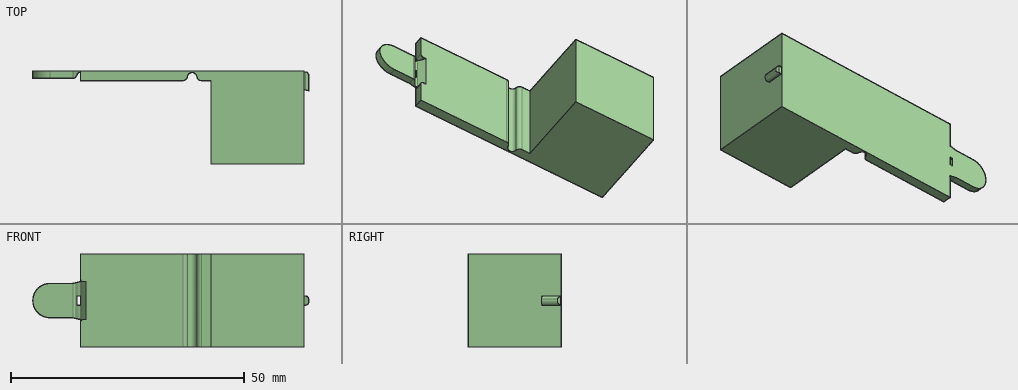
import cadquery as cq
import math

cube_size = 20.0
strap_length = 28.0
strap_thickness = 2.1
cube_end = strap_length + cube_size

web_thickness = 0.35
strap_hinge_x = 24.0
strap_hinge_half_span = 2.0
strap_hinge_lip_radius = 1.0
strap_hinge_root_radius = 1.0
tab_hinge_x = -0.165
tab_hinge_half_span = 1.445
tab_hinge_tab_lip_radius = 0.85
tab_hinge_strap_lip_radius = 0.0
tab_hinge_root_radius = 0.4

tab_reach = 10.2
tab_width = 7.4
tab_thickness = 1.6
tab_flare_start = tab_hinge_x - tab_hinge_half_span

notch_width = 8.1
notch_corner_radius = 0.7

window_start = -0.65
window_end = 0.0
window_height = 1.95

nub_height = 2.0
nub_corner_radius = 0.7
nub_end = cube_end + 1.02
nub_back = -0.2
nub_shoulder = -0.8
nub_shoulder_length = 0.65
nub_front_at_cube = -4.05
nub_front_at_tip = -4.25


def block(x_start, x_end, y_start, y_end, height):
    """Box spanning the given X and Y ranges, centred on Z = 0."""
    blank = cq.Workplane("XY").box(x_end - x_start, y_end - y_start, height, centered=(False, False, True))
    return blank.translate((x_start, y_start, 0))


def flank(groove_x, side, half_span, thickness, lip_radius, root_radius):
    """Points down one groove flank: lip, lip middle, lip end, root start, root middle, root."""
    lip_y = lip_radius - thickness
    root_y = -web_thickness - root_radius
    rise = root_y - lip_y
    distance = math.hypot(half_span, rise)
    angle = math.atan2(rise, half_span) - math.acos((lip_radius + root_radius) / distance)
    lip_middle = (angle - math.pi / 2) / 2
    root_middle = (angle + math.pi + math.pi / 2) / 2

    def lip_point(a):
        return (groove_x + side * (half_span - lip_radius * math.cos(a)), lip_y + lip_radius * math.sin(a))

    def root_point(a):
        return (groove_x - side * root_radius * math.cos(a), root_y + root_radius * math.sin(a))

    return [
        lip_point(-math.pi / 2),
        lip_point(lip_middle),
        lip_point(angle),
        root_point(angle + math.pi),
        root_point(root_middle),
        root_point(math.pi / 2),
    ]


def hinge_groove(left, right, height):
    """Groove cutter between two flanks; a flank with no lip radius meets its face at a sharp edge."""
    left_lip, left_lip_middle, left_lip_end, left_root, left_root_middle, root = left
    right_lip, right_lip_middle, right_lip_end, right_root, right_root_middle, _ = right
    mouth_y = -2 * strap_thickness
    profile = (
        cq.Workplane("XY", origin=(0, 0, -height / 2))
        .moveTo(left_lip[0], mouth_y)
        .lineTo(*left_lip)
        .threePointArc(left_lip_middle, left_lip_end)
        .lineTo(*left_root)
        .threePointArc(left_root_middle, root)
        .threePointArc(right_root_middle, right_root)
        .lineTo(*right_lip_end)
    )
    if right_lip != right_lip_end:
        profile = profile.threePointArc(right_lip_middle, right_lip)
    return profile.lineTo(right_lip[0], mouth_y).close().extrude(height)


def make_strap_and_cube():
    strap = block(0, cube_end, -strap_thickness, 0, cube_size)
    cube = block(strap_length, cube_end, -cube_size, 0, cube_size)
    left, right = [
        flank(strap_hinge_x, side, strap_hinge_half_span, strap_thickness,
              strap_hinge_lip_radius, strap_hinge_root_radius)
        for side in (-1, 1)
    ]
    groove = hinge_groove(left, right, cube_size)
    return strap.union(cube).cut(groove)


def make_tab():
    """Round-ended tab that widens across its hinge to the notch width."""
    half_tab = tab_width / 2
    half_notch = notch_width / 2
    arc_x = half_tab - tab_reach
    return (
        cq.Workplane("XZ")
        .moveTo(arc_x, half_tab)
        .threePointArc((-tab_reach, 0), (arc_x, -half_tab))
        .lineTo(tab_flare_start, -half_tab)
        .lineTo(tab_hinge_x, -half_notch)
        .lineTo(0, -half_notch)
        .lineTo(0, half_notch)
        .lineTo(tab_hinge_x, half_notch)
        .lineTo(tab_flare_start, half_tab)
        .close()
        .extrude(tab_thickness)
    )


def make_notch_mouth():
    """Rounded widening of the notch where it opens through the strap end."""
    half_notch = notch_width / 2
    half_mouth = half_notch + notch_corner_radius
    bulge = notch_corner_radius * (1 - math.sqrt(0.5))
    return (
        cq.Workplane("XZ")
        .moveTo(0, -half_mouth)
        .threePointArc((bulge, -half_notch - bulge), (notch_corner_radius, -half_notch))
        .lineTo(notch_corner_radius, half_notch)
        .threePointArc((bulge, half_notch + bulge), (0, half_mouth))
        .close()
        .extrude(strap_thickness)
    )


def make_tab_hinge():
    """Groove across the tab root and the strap end, with the rounded mouth of the notch."""
    tab_side = flank(tab_hinge_x, -1, tab_hinge_half_span, tab_thickness,
                     tab_hinge_tab_lip_radius, tab_hinge_root_radius)
    strap_side = flank(tab_hinge_x, 1, tab_hinge_half_span, strap_thickness,
                       tab_hinge_strap_lip_radius, tab_hinge_root_radius)
    groove = hinge_groove(tab_side, strap_side, notch_width)
    wide_groove = hinge_groove(tab_side, strap_side, notch_width + 2 * notch_corner_radius)
    return groove.union(make_notch_mouth().intersect(wide_groove))


def make_window():
    return block(window_start, window_end, -tab_thickness, 0, window_height)


def make_nub():
    """Nub along Y, sloped at its back and front ends, with its two outer long edges rounded."""
    rounded_bar = (
        block(cube_end, nub_end, -cube_size, 0, nub_height)
        .edges("|Y and >X")
        .fillet(nub_corner_radius)
    )
    side_profile = (
        cq.Workplane("XY", origin=(0, 0, -nub_height / 2))
        .polyline([
            (cube_end, nub_back),
            (cube_end + nub_shoulder_length, nub_back),
            (nub_end, nub_shoulder),
            (nub_end, nub_front_at_tip),
            (cube_end, nub_front_at_cube),
        ])
        .close()
        .extrude(nub_height)
    )
    return rounded_bar.intersect(side_profile)


body = make_strap_and_cube().union(make_tab()).union(make_nub())
result = body.cut(make_tab_hinge()).cut(make_window())